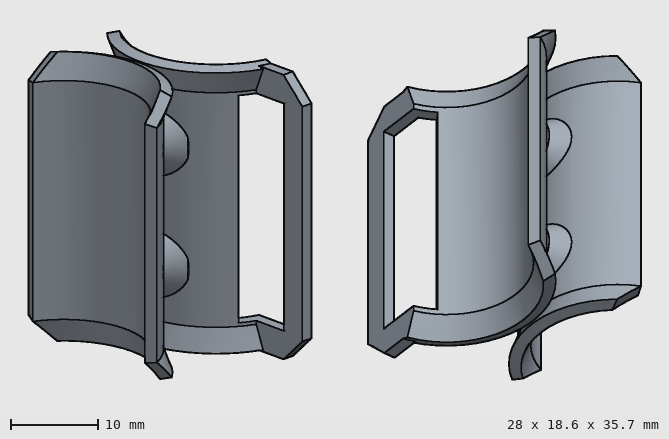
import cadquery as cq
import math

height = 35.65
inner_radius = 10.0
wall = 1.5
outer_radius = inner_radius + wall
flare_angle = 20.0
flare_height = 3.1

shell_gap = 1.18
axis_y = outer_radius + shell_gap
clip_axis_x = -0.68
clip_end_angle = 31.8
cradle_end_angle = 24.2

bevel_tilt = 10.0
cutter_size = 14.25

pad_spacing = 14.98
pad_radius = 3.53
pad_slope = math.tan(math.radians(30))
pad_length = 2.6

loop_right = 17.55
loop_left = 9.27
loop_seat_radius = 11.2
loop_back = 10.02
loop_height = 35.1
loop_bar = 3.0
loop_chamfer = 3.05
window_height = 28.03

half = height / 2
flare_sin = math.sin(math.radians(flare_angle))
flare_cos = math.cos(math.radians(flare_angle))
flare_tan = math.tan(math.radians(flare_angle))
mitre_rise = wall * math.tan(math.radians(flare_angle / 2))
inner_break = half - flare_height
outer_break = inner_break - mitre_rise
inner_tip = inner_radius + flare_height * flare_tan
outer_tip = inner_tip + wall * flare_cos
outer_tip_z = half - wall * flare_sin


def place(body, axis_x, y):
    """Move a body built around the origin onto a shell axis."""
    return body.translate((axis_x, y, 0))


def flared_shell(start_angle, end_angle):
    """Wall around the Z axis between two angles, counted from +X."""
    profile = [
        (inner_tip, half),
        (outer_tip, outer_tip_z),
        (outer_radius, outer_break),
        (outer_radius, -outer_break),
        (outer_tip, -outer_tip_z),
        (inner_tip, -half),
        (inner_radius, -inner_break),
        (inner_radius, inner_break),
    ]
    wall_arc = (
        cq.Workplane("XZ").polyline(profile).close()
        .revolve(end_angle - start_angle, (0, 0), (0, 1))
    )
    return wall_arc.rotate((0, 0, 0), (0, 0, 1), start_angle)


def bevel_end(shell, angle, outward):
    """Bevel the top and bottom corner of one end; outward is +1 for a counterclockwise end."""
    lean = math.tan(math.radians(bevel_tilt))
    for side in (1, -1):
        plane = cq.Plane(
            origin=(outer_radius, 0, side * outer_break),
            xDir=(0, side, -outward),
            normal=(lean, outward, side),
        )
        cutter = cq.Workplane(plane).rect(cutter_size, cutter_size).extrude(cutter_size)
        shell = shell.cut(cutter.rotate((0, 0, 0), (0, 0, 1), angle))
    return shell


def add_pads(shell, side):
    """Join two cones that widen from the contact plane into the shell on one side of it."""
    wide_radius = pad_radius + pad_length * pad_slope
    for z in (-pad_spacing / 2, pad_spacing / 2):
        pad = cq.Workplane(cq.Solid.makeCone(
            pad_radius, wide_radius, pad_length, cq.Vector(0, 0, z), cq.Vector(0, side, 0)
        ))
        shell = shell.union(pad)
    return shell


def strap_loop():
    """Flat chamfered frame that carries the strap."""
    length = loop_right - loop_left
    plate = (
        cq.Workplane("XY")
        .box(length, wall, loop_height, centered=(False, False, True))
        .translate((loop_left, loop_back - wall, 0))
        .edges(">X and |Y").chamfer(loop_chamfer)
    )
    window = (
        cq.Workplane("XY")
        .box(length - loop_bar, wall, window_height, centered=(False, False, True))
        .translate((loop_left, loop_back - wall, 0))
    )
    seat = cq.Workplane("XY").circle(loop_seat_radius).extrude(half, both=True)
    return plate.cut(window).cut(place(seat, clip_axis_x, axis_y))


def make_cradle():
    """Plain shell, open toward -Y."""
    start_angle = cradle_end_angle
    end_angle = 180 - cradle_end_angle
    shell = flared_shell(start_angle, end_angle)
    shell = bevel_end(shell, start_angle, -1)
    shell = bevel_end(shell, end_angle, 1)
    return add_pads(place(shell, 0, -axis_y), -1)


def make_strap_clip():
    """Shell open toward +Y, with the strap loop on its +X end."""
    start_angle = 180 + clip_end_angle
    shell = bevel_end(flared_shell(start_angle, 360), start_angle, -1)

    arm_gap = (
        cq.Workplane("XY")
        .box(cutter_size, cutter_size, window_height, centered=(False, False, True))
        .rotate((0, 0, 0), (0, 0, 1), -clip_end_angle)
    )
    shell = place(shell.cut(arm_gap), clip_axis_x, axis_y)

    behind_loop = (
        cq.Workplane("XY")
        .box(cutter_size, cutter_size, height, centered=(False, False, True))
        .translate((0, loop_back, 0))
    )
    shell = shell.cut(behind_loop).union(strap_loop())
    return add_pads(shell, 1)


cradle = make_cradle()
strap_clip = make_strap_clip()

result = cq.Compound.makeCompound([cradle.solids().val(), strap_clip.solids().val()])